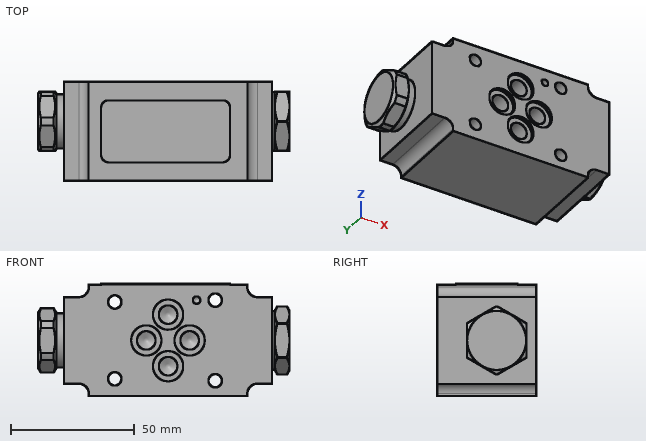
import cadquery as cq
import math

BODY_LENGTH = 84.0
BODY_DEPTH = 40.0
BODY_HEIGHT = 45.0
NOTCH_LENGTH = 10.0
NOTCH_HEIGHT = 5.0
NOTCH_RADIUS = 4.0

PLATE_LENGTH = 52.0
PLATE_WIDTH = 25.0
PLATE_HEIGHT = 0.5
PLATE_CORNER_RADIUS = 3.0
PLATE_CENTRE_X = 41.0
PLATE_CENTRE_Y = BODY_DEPTH / 2

PATTERN_X = 20.5
PATTERN_Z = 7.0
BOLT_HOLE_DIAMETER = 5.3
BOLT_OFFSETS = [(0.0, 0.0), (40.5, -0.75), (40.5, 31.75), (0.0, 31.0)]

PORT_OFFSETS = [(21.5, 5.1), (12.7, 15.5), (30.2, 15.5), (21.5, 25.9)]
PORT_DIAMETER = 7.5
PORT_DEPTH = 12.0
SEAL_RECESS_DIAMETER = 12.2
SEAL_RECESS_DEPTH = 1.4

PIN_HOLE_OFFSET = (33.0, 31.75)
PIN_HOLE_DIAMETER = 3.0
PIN_HOLE_DEPTH = 4.0
DRILL_POINT_ANGLE = 118.0

PLUG_AXIS_Y = 24.0
PLUG_AXIS_Z = BODY_HEIGHT / 2
HEX_ACROSS_FLATS = 24.0
HEX_CORNER_RADIUS = HEX_ACROSS_FLATS / math.sqrt(3)
HEX_CHAMFER_ANGLE = 30.0

LEFT_COLLAR_RADIUS = 11.0
LEFT_COLLAR_LENGTH = 3.0
LEFT_HEX_LENGTH = 7.5
LEFT_HEX_OUTER_RADIUS = 13.0
LEFT_HEX_FACE_RADIUS = LEFT_COLLAR_RADIUS

RIGHT_COLLAR_RADIUS = 11.9
RIGHT_COLLAR_LENGTH = 1.0
RIGHT_HEX_LENGTH = 6.0
RIGHT_HEX_OUTER_RADIUS = 13.75
RIGHT_HEX_FACE_RADIUS = RIGHT_COLLAR_RADIUS


def make_body():
    """Block with its four long corners notched, each notch having a rounded root."""
    block = cq.Workplane("XY").box(BODY_LENGTH, BODY_DEPTH, BODY_HEIGHT, centered=False)
    for x in (0, BODY_LENGTH):
        for z in (0, BODY_HEIGHT):
            notch = (
                cq.Workplane("XZ", origin=(x, 0, z))
                .rect(2 * NOTCH_LENGTH, 2 * NOTCH_HEIGHT)
                .extrude(-BODY_DEPTH)
                .edges("|Y")
                .fillet(NOTCH_RADIUS)
            )
            block = block.cut(notch)
    return block


def make_plate():
    """Rounded rectangular plate standing on the top face."""
    return (
        cq.Workplane("XY", origin=(PLATE_CENTRE_X, PLATE_CENTRE_Y, BODY_HEIGHT))
        .rect(PLATE_LENGTH, PLATE_WIDTH)
        .extrude(PLATE_HEIGHT)
        .edges("|Z")
        .fillet(PLATE_CORNER_RADIUS)
    )


def straight_hole(offset, diameter, depth):
    """Flat-ended hole from the front face at a pattern offset."""
    centre = (PATTERN_X + offset[0], 0, PATTERN_Z + offset[1])
    return cq.Workplane("XZ", origin=centre).circle(diameter / 2).extrude(-depth)


def drilled_hole(offset, diameter, depth):
    """Blind hole from the front face, with a conical drill point beyond its depth."""
    radius = diameter / 2
    point_length = radius / math.tan(math.radians(DRILL_POINT_ANGLE / 2))
    return (
        cq.Workplane("XY", origin=(PATTERN_X + offset[0], 0, PATTERN_Z + offset[1]))
        .polyline([(0, 0), (radius, 0), (radius, depth), (0, depth + point_length)])
        .close()
        .revolve(360, (0, 0), (0, 1))
    )


def make_plug(direction, end_x, collar_radius, collar_length, hex_length, outer_radius, face_radius):
    """Collar and hexagon chamfered at both faces, built outward from a body end."""
    outward = cq.Plane(
        origin=(end_x, PLUG_AXIS_Y, PLUG_AXIS_Z), xDir=(0, 0, 1), normal=(direction, 0, 0)
    )
    hex_end = collar_length + hex_length
    collar = cq.Workplane(outward).circle(collar_radius).extrude(collar_length)
    hexagon = (
        cq.Workplane(outward)
        .workplane(offset=collar_length)
        .polygon(6, 2 * HEX_CORNER_RADIUS)
        .extrude(hex_length)
    )
    chamfer = (outer_radius - face_radius) * math.tan(math.radians(HEX_CHAMFER_ANGLE))
    envelope_section = [
        (0, collar_length),
        (face_radius, collar_length),
        (outer_radius, collar_length + chamfer),
        (outer_radius, hex_end - chamfer),
        (face_radius, hex_end),
        (0, hex_end),
    ]
    section_plane = cq.Plane(
        origin=outward.origin, xDir=(0, 0, 1), normal=(0, direction, 0)
    )
    envelope = (
        cq.Workplane(section_plane)
        .polyline(envelope_section)
        .close()
        .revolve(360, (0, 0), (0, 1))
    )
    return collar.union(hexagon.intersect(envelope))


result = make_body().union(make_plate())

for bolt in BOLT_OFFSETS:
    result = result.cut(straight_hole(bolt, BOLT_HOLE_DIAMETER, BODY_DEPTH))

for port in PORT_OFFSETS:
    result = result.cut(straight_hole(port, SEAL_RECESS_DIAMETER, SEAL_RECESS_DEPTH))
    result = result.cut(drilled_hole(port, PORT_DIAMETER, PORT_DEPTH))

result = result.cut(drilled_hole(PIN_HOLE_OFFSET, PIN_HOLE_DIAMETER, PIN_HOLE_DEPTH))

left_plug = make_plug(
    direction=-1,
    end_x=0,
    collar_radius=LEFT_COLLAR_RADIUS,
    collar_length=LEFT_COLLAR_LENGTH,
    hex_length=LEFT_HEX_LENGTH,
    outer_radius=LEFT_HEX_OUTER_RADIUS,
    face_radius=LEFT_HEX_FACE_RADIUS,
)
right_plug = make_plug(
    direction=1,
    end_x=BODY_LENGTH,
    collar_radius=RIGHT_COLLAR_RADIUS,
    collar_length=RIGHT_COLLAR_LENGTH,
    hex_length=RIGHT_HEX_LENGTH,
    outer_radius=RIGHT_HEX_OUTER_RADIUS,
    face_radius=RIGHT_HEX_FACE_RADIUS,
)
result = result.union(left_plug).union(right_plug)